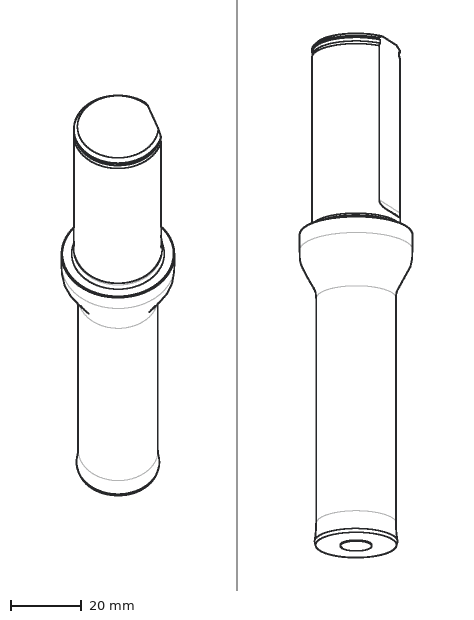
import cadquery as cq
import math

total_height = 149.0

shaft_radius = 22.6 / 2
foot_radius = 23.5 / 2
foot_rim_height = 1.3
foot_chamfer = 0.3
nub_radius = 4.5
nub_height = 0.3
flare_top = 6.9
flange_radius = 32.0 / 2
flange_top = 93.1
flange_band = 4.9
flange_chamfer = 0.3
shaft_neck_arc = 8.2

stem_radius = 25.0 / 2
neck_radius = 24.5 / 2
neck_height = 1.5
neck_shoulder = 0.5
neck_fillet = 0.9
tip_chamfer = 1.0
groove_radius = 24.5 / 2
groove_below_tip = 1.5
groove_width = 1.0
groove_taper = 0.9

flat_offset = 10.6
flat_end = 96.7
flat_runout_radius = 3.0


def arc_middle_and_end(start_radius, start_z, arc_radius, angle, side):
    """Middle and end of an arc that leaves a vertical line; side is -1 inward, +1 outward, going down."""
    def point(turn):
        radial = start_radius + side * arc_radius * (1 - math.cos(turn))
        return radial, start_z - arc_radius * math.sin(turn)
    return point(angle / 2), point(angle)


def make_holder():
    flare_height = flare_top - foot_rim_height
    flare_step = foot_radius - shaft_radius
    flare_arc = (flare_height**2 + flare_step**2) / (2 * flare_step)
    flare_angle = math.asin(flare_height / flare_arc)
    flare_middle, flare_end = arc_middle_and_end(shaft_radius, flare_top, flare_arc, flare_angle, 1)

    bowl_top = flange_top - flange_band
    bowl_step = flange_radius - shaft_radius
    sphere_radius = flange_radius
    arc_sum = sphere_radius + shaft_neck_arc
    bowl_angle = math.acos(1 - bowl_step / arc_sum)
    bowl_bottom = bowl_top - arc_sum * math.sin(bowl_angle)
    bowl_middle, bowl_end = arc_middle_and_end(flange_radius, bowl_top, sphere_radius, bowl_angle, -1)
    neck_middle = (
        shaft_radius + shaft_neck_arc * (1 - math.cos(bowl_angle / 2)),
        bowl_bottom + shaft_neck_arc * math.sin(bowl_angle / 2),
    )
    bowl_points = [neck_middle, bowl_end, bowl_middle, (flange_radius, bowl_top)]

    return (
        cq.Workplane("XZ")
        .moveTo(0, 0)
        .lineTo(nub_radius, 0)
        .lineTo(nub_radius, nub_height)
        .lineTo(foot_radius - foot_chamfer, nub_height)
        .lineTo(*flare_end)
        .threePointArc(flare_middle, (shaft_radius, flare_top))
        .lineTo(shaft_radius, bowl_bottom)
        .spline(bowl_points, tangents=[(0, 1), (0, 1)], includeCurrent=True)
        .lineTo(flange_radius, flange_top - flange_chamfer)
        .lineTo(flange_radius - flange_chamfer, flange_top)
        .lineTo(0, flange_top)
        .close()
        .revolve(360, (0, 0), (0, 1))
    )


def make_flat_cutter():
    """Block behind the flat whose lower end curves out of the stem."""
    outside = 2 * stem_radius
    runout_middle, runout_end = arc_middle_and_end(
        flat_offset, flat_end + flat_runout_radius, flat_runout_radius, math.radians(90), 1
    )
    return (
        cq.Workplane("YZ")
        .moveTo(flat_offset, total_height)
        .lineTo(flat_offset, flat_end + flat_runout_radius)
        .threePointArc(runout_middle, runout_end)
        .lineTo(outside, flat_end)
        .lineTo(outside, total_height)
        .close()
        .extrude(stem_radius, both=True)
    )


def make_stem():
    neck_top = flange_top + neck_height
    fillet_inset = neck_fillet * (1 - math.sqrt(0.5))
    fillet_middle = (neck_radius + fillet_inset, flange_top + fillet_inset)
    groove_top = total_height - groove_below_tip
    groove_bottom = groove_top - groove_width
    profile = (
        cq.Workplane("XZ")
        .moveTo(0, flange_top)
        .lineTo(neck_radius + neck_fillet, flange_top)
        .threePointArc(fillet_middle, (neck_radius, flange_top + neck_fillet))
        .lineTo(neck_radius, neck_top)
        .lineTo(stem_radius, neck_top + neck_shoulder)
        .lineTo(stem_radius, groove_bottom - groove_taper)
        .lineTo(groove_radius, groove_bottom)
        .lineTo(groove_radius, groove_top)
        .lineTo(stem_radius, groove_top)
        .lineTo(stem_radius, total_height - tip_chamfer)
        .lineTo(stem_radius - tip_chamfer, total_height)
        .lineTo(0, total_height)
        .close()
    )
    return profile.revolve(360, (0, 0), (0, 1)).cut(make_flat_cutter())


holder = make_holder()
stem = make_stem()
result = cq.Compound.makeCompound([holder.val(), stem.val()])